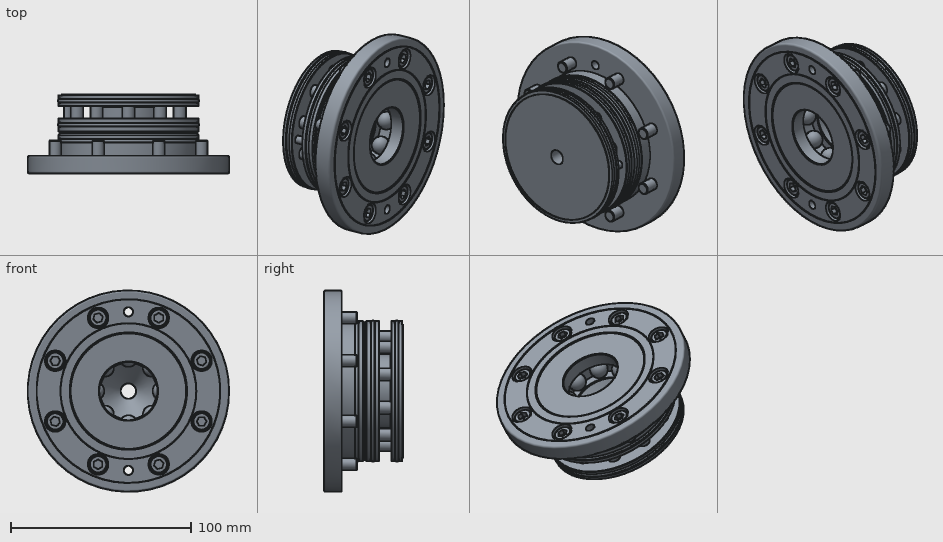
import cadquery as cq
import math


flange_radius = 56.0
flange_thickness = 10.0
flange_front_fillet = 1.2
flange_back_fillet = 1.0

barrel_radius = 39.0
barrel_back = 30.7
notch_front = 22.5
notch_back = 23.0
notch_radius = 38.0
notch_front_chamfer = barrel_radius - notch_radius
notch_back_chamfer = 0.7

disc_front = 37.4
disc_back = 43.5
hub_radius = 20.5
hub_chamfer = 0.5
gap_edge_chamfer = 0.3
pin_radius = 3.5
pin_count = 10
pin_circle_radius = 30.0
locating_pin_radius = 2.2
locating_pin_x = -33.7
locating_pin_z = 0.65
end_plate_radius = 37.0
end_plate_back = 44.0

seal_positions = [18.3, 27.2, 40.5]
seal_groove_width = 2.4
seal_groove_depth = 1.2
seal_section_radius = 1.0
seal_proud = 0.25
seal_cut_margin = 1.0

bore_radius = 16.1
bore_chamfer = 0.45
ball_radius = 5.0
ball_count = 8
ball_circle_radius = 18.4
chamber_radius = 20.7
chamber_front = 8.5
chamber_back = chamber_front + 2 * ball_radius
cone_radius = 15.7
through_hole_radius = 4.2
cone_lead_in = 0.8
cone_front = chamber_back + cone_lead_in
cone_back = cone_front + cone_radius - through_hole_radius

face_recess_radius = 32.7
face_recess_depth = 0.3
face_recess_chamfer = 0.7
face_groove_radii = [37.7, 51.0]
face_groove_width = 0.25
face_groove_depth = 0.3

bolt_circle_radius = 44.0
screw_count = 8
screw_angle_step = 360.0 / screw_count
first_screw_angle = screw_angle_step / 2
dowel_hole_radius = 2.5
screw_shank_radius = 3.3
screw_head_radius = 5.0
screw_head_front = 1.0
screw_head_height = 6.0
screw_head_back = screw_head_front + screw_head_height
screw_head_chamfer = 0.5
screw_tip = 18.5
screw_tip_chamfer = 0.4
socket_across_flats = 4.75
socket_depth = 3.0
counterbore_radius = 5.75


def turned(points):
    """Solid of revolution about Y from a closed (radius, y) outline."""
    return cq.Workplane("XY").polyline(points).close().revolve(360, (0, 0), (0, 1))


def ring(inner_radius, outer_radius, front, back):
    """Plain ring about the Y axis."""
    return turned([(inner_radius, front), (outer_radius, front), (outer_radius, back), (inner_radius, back)])


def rod(radius, x, z, front, back):
    """Cylinder along Y centred at (x, z)."""
    return cq.Workplane("XY").add(
        cq.Solid.makeCylinder(radius, back - front, cq.Vector(x, front, z), cq.Vector(0, 1, 0))
    )


def on_circle(radius, angle):
    """X and Z of a point on a circle about the Y axis."""
    return radius * math.cos(math.radians(angle)), radius * math.sin(math.radians(angle))


def make_turned_body():
    flange = ring(0, flange_radius, 0, flange_thickness)
    flange = flange.faces("<Y").edges().fillet(flange_front_fillet)
    flange = flange.faces(">Y").edges().fillet(flange_back_fillet)
    rear = turned([
        (0, flange_thickness / 2),
        (barrel_radius, flange_thickness / 2),
        (barrel_radius, notch_front - notch_front_chamfer),
        (notch_radius, notch_front),
        (notch_radius, notch_back),
        (barrel_radius - notch_back_chamfer, notch_back),
        (barrel_radius, notch_back + notch_back_chamfer),
        (barrel_radius, barrel_back - gap_edge_chamfer),
        (barrel_radius - gap_edge_chamfer, barrel_back),
        (hub_radius, barrel_back),
        (hub_radius, disc_front - hub_chamfer),
        (hub_radius - hub_chamfer, disc_front),
        (barrel_radius - gap_edge_chamfer, disc_front),
        (barrel_radius, disc_front + gap_edge_chamfer),
        (barrel_radius, disc_back),
        (end_plate_radius, disc_back),
        (end_plate_radius, end_plate_back),
        (0, end_plate_back),
    ])
    return flange.union(rear)


def add_seals(body):
    seal_centre_radius = barrel_radius + seal_proud - seal_section_radius
    for position in seal_positions:
        front = position - seal_groove_width / 2
        back = position + seal_groove_width / 2
        body = body.cut(ring(barrel_radius - seal_groove_depth, barrel_radius + seal_cut_margin, front, back))
        seal = (
            cq.Workplane("XY", origin=(seal_centre_radius, position))
            .transformed(rotate=(0, 0, 180))
            .circle(seal_section_radius)
            .revolve(360, (seal_centre_radius, 0), (seal_centre_radius, 1))
        )
        body = body.union(seal)
    return body


def add_spacer_pins(body):
    places = [on_circle(pin_circle_radius, 90 + i * 360 / pin_count) for i in range(pin_count)]
    for x, z in places:
        body = body.union(rod(pin_radius, x, z, barrel_back, disc_front))
    locating_pin = rod(locating_pin_radius, locating_pin_x, locating_pin_z, barrel_back, disc_front)
    return body.union(locating_pin)


def cut_bore(body):
    return body.cut(turned([
        (0, 0),
        (bore_radius + bore_chamfer, 0),
        (bore_radius + bore_chamfer, face_recess_depth),
        (bore_radius, face_recess_depth + bore_chamfer),
        (bore_radius, chamber_front),
        (chamber_radius, chamber_front),
        (chamber_radius, chamber_back),
        (cone_radius, chamber_back),
        (cone_radius, cone_front),
        (through_hole_radius, cone_back),
        (through_hole_radius, end_plate_back),
        (0, end_plate_back),
    ]))


def add_balls(body):
    ball_y = (chamber_front + chamber_back) / 2
    for i in range(ball_count):
        x, z = on_circle(ball_circle_radius, i * 360 / ball_count)
        body = body.union(cq.Workplane("XY").sphere(ball_radius).translate((x, ball_y, z)))
    return body


def cut_face_details(body):
    body = body.cut(turned([
        (0, 0),
        (face_recess_radius, 0),
        (face_recess_radius - face_recess_chamfer, face_recess_depth),
        (0, face_recess_depth),
    ]))
    for radius in face_groove_radii:
        inner = radius - face_groove_width / 2
        body = body.cut(ring(inner, inner + face_groove_width, 0, face_groove_depth))
    return body


def cut_bolt_circle(body):
    for i in range(screw_count):
        x, z = on_circle(bolt_circle_radius, first_screw_angle + i * screw_angle_step)
        body = body.cut(rod(counterbore_radius, x, z, 0, screw_head_back))
        body = body.cut(rod(screw_shank_radius, x, z, 0, flange_thickness))
    for side in (-1, 1):
        body = body.cut(rod(dowel_hole_radius, 0, side * bolt_circle_radius, 0, flange_thickness))
    return body


def make_housing():
    body = add_seals(make_turned_body())
    body = add_spacer_pins(body)
    body = add_balls(cut_bore(body))
    body = cut_face_details(body)
    return cut_bolt_circle(body)


def make_screw():
    """Socket head cap screw about the Y axis, head toward -Y."""
    screw = turned([
        (0, screw_head_front),
        (screw_head_radius - screw_head_chamfer, screw_head_front),
        (screw_head_radius, screw_head_front + screw_head_chamfer),
        (screw_head_radius, screw_head_back),
        (screw_shank_radius, screw_head_back),
        (screw_shank_radius, screw_tip - screw_tip_chamfer),
        (screw_shank_radius - screw_tip_chamfer, screw_tip),
        (0, screw_tip),
    ])
    socket_across_corners = socket_across_flats / math.cos(math.radians(30))
    socket = (
        cq.Workplane("XZ", origin=(0, screw_head_front + socket_depth, 0))
        .transformed(rotate=(0, 0, first_screw_angle))
        .polygon(6, socket_across_corners)
        .extrude(socket_depth)
    )
    return screw.cut(socket)


def make_screws():
    base = make_screw().translate((bolt_circle_radius, 0, 0))
    return [
        base.rotate((0, 0, 0), (0, -1, 0), first_screw_angle + i * screw_angle_step)
        for i in range(screw_count)
    ]


housing = make_housing()
screws = make_screws()
result = cq.Compound.makeCompound([housing.val(), *[screw.val() for screw in screws]])